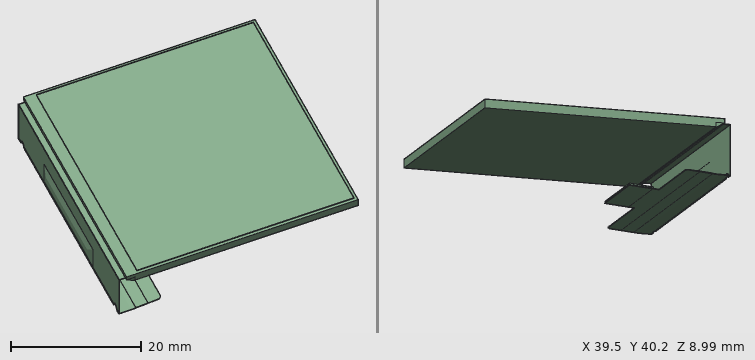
import cadquery as cq
import math


PANEL_WIDTH = 39.5
PANEL_LENGTH = 38.8
GLASS_THICKNESS = 0.7
PANEL_THICKNESS = 2 * GLASS_THICKNESS
LEDGE_DEPTH = 1.45
PANEL_FRONT = -PANEL_LENGTH / 2
PANEL_BACK = PANEL_LENGTH / 2
LEDGE_BACK = PANEL_FRONT + LEDGE_DEPTH
LEDGE_Z = PANEL_THICKNESS - GLASS_THICKNESS

FILM_MARGIN = 0.5
FILM_FRONT_MARGIN = 1.95
FILM_THICKNESS = 0.15
FILM_WIDTH = PANEL_WIDTH - 2 * FILM_MARGIN
FILM_LENGTH = PANEL_LENGTH - FILM_MARGIN - FILM_FRONT_MARGIN

TOTAL_LENGTH = 40.18
TOTAL_HEIGHT = 8.99

PAD_WIDTH = 18.7
PAD_HEIGHT = 4.2
PAD_DEPTH = 0.3
PAD_BEVEL = 1.5
PAD_LIFT = 0.4

FLEX_WIDTH = FILM_WIDTH
FLEX_THICKNESS = 0.12
FLEX_FRONT = PANEL_BACK - TOTAL_LENGTH + PAD_DEPTH
FLEX_BOTTOM = PANEL_THICKNESS + FILM_THICKNESS - TOTAL_HEIGHT
FOLD_LENGTH = 2.1
ARM_LENGTH = 7.2
ARM_CORNER_CHAMFER = 0.4
TAIL_LENGTH = 4.8
TAIL_WIDTH = 12.0
ARM_TILT = 4.3
BOND_OVERLAP = 1.0

BEND_HOLE_RADIUS = 0.53
BEND_HOLE_HEIGHT = 0.7
BEND_HOLE_REACH = 0.2
BEND_HOLE_INSET = 1.5

STIFFENER_LENGTH = 3.9
STIFFENER_THICKNESS = 0.22
STRIP_START = 2.85
STRIP_LENGTH = 2.05
STRIP_THICKNESS = 0.03

SEALANT_FLAT = 0.2


def extrude_across(points, width):
    """Extrude a Y-Z outline symmetrically about X = 0."""
    return cq.Workplane("YZ").polyline(points).close().extrude(width / 2, both=True)


def arm_point(along, above):
    """Y-Z position on the tilted arm, along from the wall's front and up from the underside."""
    tilt = math.radians(ARM_TILT)
    run = along - FOLD_LENGTH
    y = FLEX_FRONT + FOLD_LENGTH + run * math.cos(tilt) - above * math.sin(tilt)
    z = FLEX_BOTTOM + run * math.sin(tilt) + above * math.cos(tilt)
    return y, z


def arm_slab(start, length, base, thickness, width):
    """A flat piece parallel to the tilted arm, its lower face at height base."""
    end = start + length
    top = base + thickness
    outline = [
        arm_point(start, base),
        arm_point(end, base),
        arm_point(end, top),
        arm_point(start, top),
    ]
    return extrude_across(outline, width)


def make_panel():
    outline = [
        (PANEL_BACK, 0),
        (LEDGE_BACK, 0),
        (LEDGE_BACK, LEDGE_Z),
        (PANEL_FRONT, LEDGE_Z),
        (PANEL_FRONT, PANEL_THICKNESS),
        (PANEL_BACK, PANEL_THICKNESS),
    ]
    return extrude_across(outline, PANEL_WIDTH)


def make_film():
    center_y = (FILM_FRONT_MARGIN - FILM_MARGIN) / 2
    return (
        cq.Workplane("XY", origin=(0, center_y, PANEL_THICKNESS))
        .rect(FILM_WIDTH, FILM_LENGTH)
        .extrude(FILM_THICKNESS)
    )


def make_bend_hole(x):
    side_height = BEND_HOLE_HEIGHT - BEND_HOLE_RADIUS
    return (
        cq.Workplane("XZ", origin=(x, FLEX_FRONT, FLEX_BOTTOM))
        .moveTo(-BEND_HOLE_RADIUS, 0)
        .lineTo(-BEND_HOLE_RADIUS, side_height)
        .threePointArc((0, BEND_HOLE_HEIGHT), (BEND_HOLE_RADIUS, side_height))
        .lineTo(BEND_HOLE_RADIUS, 0)
        .close()
        .extrude(-BEND_HOLE_REACH)
    )


def make_flex():
    wall_back = FLEX_FRONT + FLEX_THICKNESS
    flange_back = PANEL_FRONT + BOND_OVERLAP
    half_tilt = math.radians(ARM_TILT / 2)
    fold_y = FLEX_FRONT + FOLD_LENGTH
    outline = [
        (flange_back, LEDGE_Z),
        (FLEX_FRONT, LEDGE_Z),
        (FLEX_FRONT, FLEX_BOTTOM),
        (fold_y, FLEX_BOTTOM),
        arm_point(ARM_LENGTH, 0),
        arm_point(ARM_LENGTH, FLEX_THICKNESS),
        (fold_y - FLEX_THICKNESS * math.tan(half_tilt), FLEX_BOTTOM + FLEX_THICKNESS),
        (wall_back, FLEX_BOTTOM + FLEX_THICKNESS),
        (wall_back, LEDGE_Z - FLEX_THICKNESS),
        (flange_back, LEDGE_Z - FLEX_THICKNESS),
    ]
    flex = extrude_across(outline, FLEX_WIDTH)
    flex = flex.faces(">Y").edges("not |X").chamfer(ARM_CORNER_CHAMFER)
    flex = flex.union(arm_slab(ARM_LENGTH, TAIL_LENGTH, 0, FLEX_THICKNESS, TAIL_WIDTH))
    for side in (-1, 1):
        flex = flex.cut(make_bend_hole(side * (FLEX_WIDTH / 2 - BEND_HOLE_INSET)))
    return flex


def make_sealant(flex):
    outline = [
        (LEDGE_BACK, 0),
        (LEDGE_BACK, LEDGE_Z),
        (PANEL_FRONT, LEDGE_Z),
        (LEDGE_BACK - SEALANT_FLAT, 0),
    ]
    return extrude_across(outline, PANEL_WIDTH).cut(flex)


def make_pad():
    center_z = FLEX_BOTTOM + PAD_LIFT + PAD_HEIGHT / 2
    return (
        cq.Workplane("XZ", origin=(0, FLEX_FRONT, center_z))
        .rect(PAD_WIDTH, PAD_HEIGHT)
        .workplane(offset=PAD_DEPTH)
        .rect(PAD_WIDTH - 2 * PAD_BEVEL, PAD_HEIGHT - 2 * PAD_BEVEL)
        .loft(ruled=True)
    )


def make_stiffener():
    start = ARM_LENGTH + TAIL_LENGTH - STIFFENER_LENGTH
    return arm_slab(start, STIFFENER_LENGTH, FLEX_THICKNESS, STIFFENER_THICKNESS, TAIL_WIDTH)


def make_strip():
    return arm_slab(STRIP_START, STRIP_LENGTH, FLEX_THICKNESS, STRIP_THICKNESS, FLEX_WIDTH)


panel = make_panel()
film = make_film()
flex = make_flex()
sealant = make_sealant(flex)
pad = make_pad()
stiffener = make_stiffener()
strip = make_strip()

result = cq.Compound.makeCompound([
    panel.val(),
    film.val(),
    flex.val(),
    sealant.val(),
    pad.val(),
    stiffener.val(),
    strip.val(),
])